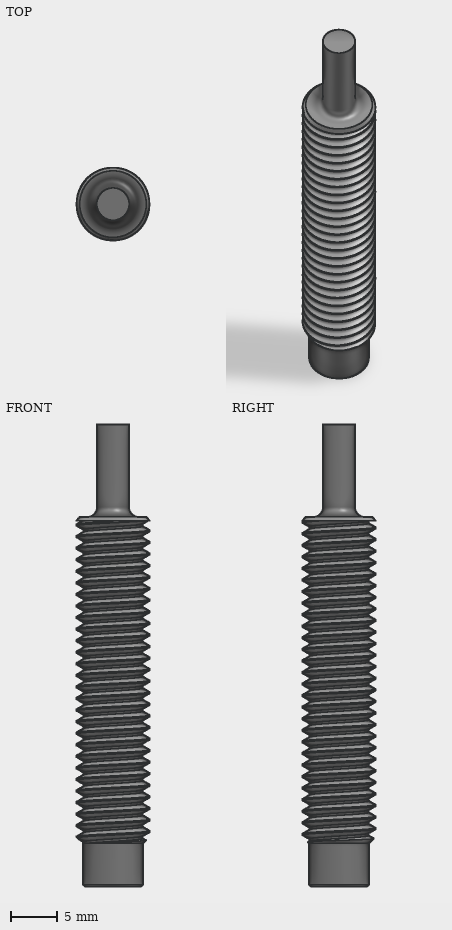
import cadquery as cq
import math

total_height = 50.0
foot_diameter = 6.5
foot_height = 4.7
foot_chamfer = 0.25
body_top = 40.0
pin_diameter = 3.5
pin_fillet = 1.0

thread_diameter = 7.9
root_diameter = 6.45
pitch = 1.25
crest_width = 0.15
flank_half_angle = 30.0
top_chamfer_width = 0.35
top_chamfer_height = 0.4

groove_start = 3.8
groove_start_angle = -90.0
groove_turns = 29.0
rim_thickness = 0.05
cutter_clearance = 0.1

foot_radius = foot_diameter / 2
pin_radius = pin_diameter / 2
thread_radius = thread_diameter / 2
root_radius = root_diameter / 2


def make_blank():
    """Revolve the stud before its thread is cut."""
    run_out = thread_radius - foot_radius
    arc_offset = pin_fillet * (1 - math.sqrt(0.5))
    return (
        cq.Workplane("XZ")
        .lineTo(foot_radius - foot_chamfer, 0)
        .lineTo(foot_radius, foot_chamfer)
        .lineTo(foot_radius, foot_height)
        .lineTo(thread_radius, foot_height + run_out)
        .lineTo(thread_radius, body_top - top_chamfer_height)
        .lineTo(thread_radius - top_chamfer_width, body_top)
        .lineTo(pin_radius + pin_fillet, body_top)
        .threePointArc(
            (pin_radius + arc_offset, body_top + arc_offset),
            (pin_radius, body_top + pin_fillet),
        )
        .lineTo(pin_radius, total_height)
        .lineTo(0, total_height)
        .close()
        .revolve(360, (0, 0, 0), (0, 1, 0))
    )


def make_groove():
    """Sweep the trapezoidal thread groove along its helix."""
    flank_slope = math.tan(math.radians(flank_half_angle))
    outer_radius = thread_radius + cutter_clearance
    half_mouth = (pitch - crest_width) / 2
    half_root = half_mouth - (thread_radius - root_radius) * flank_slope
    half_outer = half_mouth + cutter_clearance * flank_slope
    helix = cq.Wire.makeHelix(pitch, pitch * groove_turns, root_radius)
    return (
        cq.Workplane("XZ")
        .moveTo(root_radius, -half_root)
        .lineTo(outer_radius, -half_outer)
        .lineTo(outer_radius, half_outer)
        .lineTo(root_radius, half_root)
        .close()
        .sweep(cq.Workplane(obj=helix), isFrenet=True)
        .rotate((0, 0, 0), (0, 0, 1), groove_start_angle)
        .translate((0, 0, groove_start))
    )


def make_thread_zone():
    """Bound the groove between the foot and the thin unbroken rim at the top."""
    rim_bottom = body_top - top_chamfer_height - rim_thickness
    return (
        cq.Workplane("XY", origin=(0, 0, foot_height))
        .circle(thread_radius + 2 * cutter_clearance)
        .extrude(rim_bottom - foot_height)
    )


trimmed_groove = make_groove().intersect(make_thread_zone())
result = make_blank().cut(trimmed_groove)